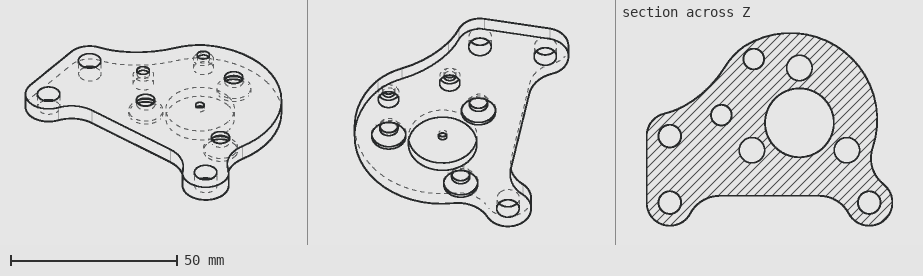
import math

import cadquery as cq

THICKNESS = 5.0
SKIN = 1.5

LUG_RADIUS = 7.0
LUG_HOLE_DIAMETER = 6.75
LUG_SPAN_X = 60.0
LUG_SPAN_Y = 20.0
LOWER_LEFT_LUG = (0.0, 0.0)
LOWER_RIGHT_LUG = (LUG_SPAN_X, 0.0)
UPPER_LEFT_LUG = (0.0, LUG_SPAN_Y)

LOWER_EDGE_Y = 2.0
NECK_RADIUS = 10.0
HEAD_CENTER = (36.3, 24.9)
HEAD_RADIUS = 26.15

SHOULDER_START_ANGLE = 103.0
SHOULDER_FLARE = (4.1, 28.97)
SHOULDER_INFLECTION = (16.55, 40.8)
SHOULDER_END_ANGLE = 121.9

HUB_CENTER = (39.0, 24.0)
PILOT_DIAMETER = 2.55
HUB_RECESS_DIAMETER = 20.65
HUB_SCREW_COUNT = 3
HUB_SCREW_FIRST_ANGLE = 90.0
HUB_SCREW_CIRCLE_RADIUS = 16.5
HUB_SCREW_DIAMETER = 5.55
HUB_SCREW_HEAD_DIAMETER = 10.3

PAIR_ANGLE = 150.0
PAIR_DISTANCE = 21.5
PAIR_SPACING = 19.5
PAIR_SCREW_DIAMETER = 3.75
PAIR_SCREW_HEAD_DIAMETER = 6.15


def polar(center, radius, angle):
    """Point at a radius and an angle in degrees from a centre."""
    turn = math.radians(angle)
    return (center[0] + radius * math.cos(turn), center[1] + radius * math.sin(turn))


def toward(start, target, distance):
    """Point at a distance from start on the line to target."""
    share = distance / math.dist(start, target)
    return (start[0] + share * (target[0] - start[0]), start[1] + share * (target[1] - start[1]))


def right_neck_center():
    """Centre of the concave arc that touches the lower right lug and the head from outside."""
    lug_reach = LUG_RADIUS + NECK_RADIUS
    head_reach = HEAD_RADIUS + NECK_RADIUS
    span = math.dist(LOWER_RIGHT_LUG, HEAD_CENTER)
    along = (lug_reach**2 - head_reach**2 + span**2) / (2 * span)
    across = math.sqrt(lug_reach**2 - along**2)
    foot = toward(LOWER_RIGHT_LUG, HEAD_CENTER, along)
    axis_x = (HEAD_CENTER[0] - LOWER_RIGHT_LUG[0]) / span
    axis_y = (HEAD_CENTER[1] - LOWER_RIGHT_LUG[1]) / span
    return (foot[0] + across * axis_y, foot[1] - across * axis_x)


def make_plate():
    neck_drop_y = LOWER_EDGE_Y - NECK_RADIUS
    neck_offset_x = math.sqrt((LUG_RADIUS + NECK_RADIUS) ** 2 - neck_drop_y**2)
    left_neck = (neck_offset_x, neck_drop_y)
    lower_right_neck = (LUG_SPAN_X - neck_offset_x, neck_drop_y)
    right_neck = right_neck_center()

    shoulder_start = polar(UPPER_LEFT_LUG, LUG_RADIUS, SHOULDER_START_ANGLE)
    shoulder_end = polar(HEAD_CENTER, HEAD_RADIUS, SHOULDER_END_ANGLE)
    head_end = toward(HEAD_CENTER, right_neck, HEAD_RADIUS)
    right_lug_start = toward(LOWER_RIGHT_LUG, right_neck, LUG_RADIUS)
    right_lug_end = toward(LOWER_RIGHT_LUG, lower_right_neck, LUG_RADIUS)
    left_lug_start = toward(LOWER_LEFT_LUG, left_neck, LUG_RADIUS)

    return (
        cq.Workplane("XY")
        .moveTo(-LUG_RADIUS, 0)
        .lineTo(-LUG_RADIUS, LUG_SPAN_Y)
        .tangentArcPoint(shoulder_start, relative=False)
        .tangentArcPoint(SHOULDER_FLARE, relative=False)
        .tangentArcPoint(SHOULDER_INFLECTION, relative=False)
        .tangentArcPoint(shoulder_end, relative=False)
        .threePointArc(polar(HEAD_CENTER, HEAD_RADIUS, 45), head_end)
        .tangentArcPoint(right_lug_start, relative=False)
        .tangentArcPoint(right_lug_end, relative=False)
        .tangentArcPoint((lower_right_neck[0], LOWER_EDGE_Y), relative=False)
        .lineTo(left_neck[0], LOWER_EDGE_Y)
        .tangentArcPoint(left_lug_start, relative=False)
        .tangentArcPoint((-LUG_RADIUS, 0), relative=False)
        .close()
        .extrude(THICKNESS)
    )


def through_holes(points, diameter):
    return cq.Workplane("XY").pushPoints(points).circle(diameter / 2).extrude(THICKNESS)


def underside_recesses(points, diameter):
    return cq.Workplane("XY").pushPoints(points).circle(diameter / 2).extrude(THICKNESS - SKIN)


def underside_countersinks(points):
    """90 degree countersinks below the skin, opening into straight head clearances."""
    hole_radius = HUB_SCREW_DIAMETER / 2
    head_radius = HUB_SCREW_HEAD_DIAMETER / 2
    cone_top = THICKNESS - SKIN
    cone_bottom = cone_top - (head_radius - hole_radius)
    profile = (
        cq.Workplane("XZ")
        .polyline([
            (0, 0),
            (head_radius, 0),
            (head_radius, cone_bottom),
            (hole_radius, cone_top),
            (0, cone_top),
        ])
        .close()
    )
    cutter = profile.revolve(360, (0, 0, 0), (0, 1, 0)).val()
    return cq.Workplane("XY").pushPoints(points).eachpoint(lambda place: cutter.moved(place))


def hub_screw_points():
    step = 360 / HUB_SCREW_COUNT
    return [
        polar(HUB_CENTER, HUB_SCREW_CIRCLE_RADIUS, HUB_SCREW_FIRST_ANGLE + index * step)
        for index in range(HUB_SCREW_COUNT)
    ]


def pair_points():
    middle = polar(HUB_CENTER, PAIR_DISTANCE, PAIR_ANGLE)
    return [polar(middle, PAIR_SPACING / 2, PAIR_ANGLE + side) for side in (-90, 90)]


lugs = [LOWER_LEFT_LUG, LOWER_RIGHT_LUG, UPPER_LEFT_LUG]

result = (
    make_plate()
    .cut(through_holes(lugs, LUG_HOLE_DIAMETER))
    .cut(through_holes([HUB_CENTER], PILOT_DIAMETER))
    .cut(underside_recesses([HUB_CENTER], HUB_RECESS_DIAMETER))
    .cut(through_holes(hub_screw_points(), HUB_SCREW_DIAMETER))
    .cut(underside_countersinks(hub_screw_points()))
    .cut(through_holes(pair_points(), PAIR_SCREW_DIAMETER))
    .cut(underside_recesses(pair_points(), PAIR_SCREW_HEAD_DIAMETER))
)